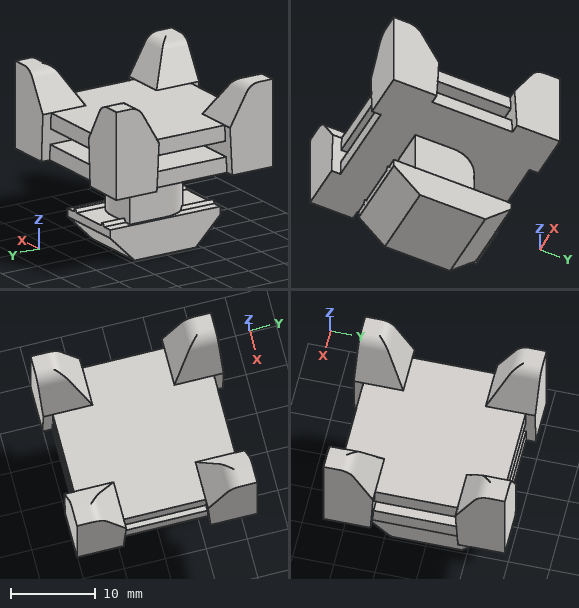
import cadquery as cq
import math


overall = 22.0
half = overall / 2
post_height = 11.0
post_waist_height = 6.0
post_waist_width = 6.0
post_base_width = 5.7
lead_in_angle = 60.0
post_tip_radius = 2.0

plate_side = 19.67
plate_thickness = 2.0
upper_plate_bottom = post_waist_height - plate_thickness

stem_width = 8.54
stem_depth = 9.5
stem_corner_radius = 4.49
stem_length = 6.2

foot_width = 9.28
foot_length = 15.53
foot_height = 4.49
foot_edge_height = 1.03
foot_bevel = foot_height - foot_edge_height
foot_top = -stem_length
foot_bottom = foot_top - foot_height

rib_offset = 3.0
rib_base_width = 0.7
rib_flank_angle = 60.0
rib_crest_radius = 0.2


def post_profile(plane):
    """Post outline extruded across the whole part, with its outer side at -half."""
    slope = math.radians(lead_in_angle)
    top_width = post_waist_width - (post_height - post_waist_height) / math.tan(slope)
    arc_start = -half + top_width - post_tip_radius * math.tan(slope / 2)
    arc_mid = arc_start + post_tip_radius * math.sin(slope / 2)
    arc_end = arc_start + post_tip_radius * math.sin(slope)
    mid_drop = post_tip_radius * (1 - math.cos(slope / 2))
    end_drop = post_tip_radius * (1 - math.cos(slope))
    return (
        cq.Workplane(plane)
        .moveTo(-half, 0)
        .lineTo(-half, post_height)
        .lineTo(arc_start, post_height)
        .threePointArc((arc_mid, post_height - mid_drop), (arc_end, post_height - end_drop))
        .lineTo(-half + post_waist_width, post_waist_height)
        .lineTo(-half + post_base_width, 0)
        .close()
        .extrude(half, both=True)
    )


def make_plate(bottom):
    return (
        cq.Workplane("XY")
        .workplane(offset=bottom)
        .rect(plate_side, plate_side)
        .extrude(plate_thickness)
    )


def make_stem():
    """Block with two diagonally opposite corners rounded, so the foot can be turned in a slot."""
    block = cq.Workplane("XY").rect(stem_width, stem_depth).extrude(-stem_length)
    for corner in (-1, 1):
        point = (corner * stem_width / 2, corner * stem_depth / 2, -stem_length / 2)
        block = block.edges("|Z").edges(cq.NearestToPointSelector(point)).fillet(stem_corner_radius)
    return block


def make_foot():
    half_length = foot_length / 2
    bevel_top = foot_bottom + foot_bevel
    return (
        cq.Workplane("YZ")
        .polyline([
            (-half_length, foot_top),
            (half_length, foot_top),
            (half_length, bevel_top),
            (half_length - foot_bevel, foot_bottom),
            (-half_length + foot_bevel, foot_bottom),
            (-half_length, bevel_top),
        ])
        .close()
        .extrude(foot_width / 2, both=True)
    )


def make_rib(center_x):
    """Ridge with sloping flanks and a rounded crest, along the foot."""
    flank = math.radians(rib_flank_angle)
    sharp_apex = foot_top + rib_base_width / 2 * math.tan(flank)
    crest_center = sharp_apex - rib_crest_radius / math.cos(flank)
    crest_half_width = rib_crest_radius * math.sin(flank)
    crest_edge = crest_center + rib_crest_radius * math.cos(flank)
    return (
        cq.Workplane("XZ")
        .moveTo(center_x - rib_base_width / 2, foot_top)
        .lineTo(center_x + rib_base_width / 2, foot_top)
        .lineTo(center_x + crest_half_width, crest_edge)
        .threePointArc(
            (center_x, crest_center + rib_crest_radius),
            (center_x - crest_half_width, crest_edge),
        )
        .close()
        .extrude(foot_length / 2, both=True)
    )


post = post_profile("XZ").intersect(post_profile("YZ"))

result = make_plate(0).union(make_plate(upper_plate_bottom))
for quarter_turn in range(4):
    result = result.union(post.rotate((0, 0, 0), (0, 0, 1), 90 * quarter_turn))

result = result.union(make_stem()).union(make_foot())
for side in (-1, 1):
    result = result.union(make_rib(side * rib_offset))